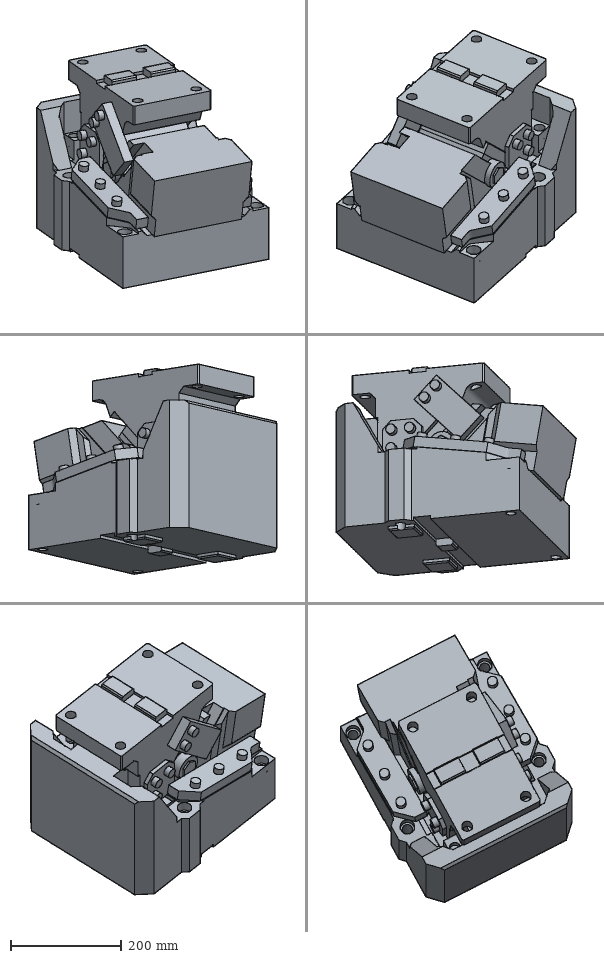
import cadquery as cq
import math

LENGTH = 385.0
SLIDE_ANGLE = 10.0
SLIDE_TOP_Z = 211.0
SLIDE_HEIGHT = 120.0
FAR = 462.0
BOLT_DIA = 18.0
BOLT_HEAD_HEIGHT = 11.5
KEY_WIDTH = 32.0
KEY_LENGTH = 50.0
KEY_HEIGHT = 8.0
KEY_CHAMFER = 2.7
KEY_SLOT_DEPTH = 5.8
BOTH_SIDES = (1, -1)

sine = math.sin(math.radians(SLIDE_ANGLE))
cosine = math.cos(math.radians(SLIDE_ANGLE))
slide_corner = (LENGTH, 0, SLIDE_TOP_Z)
up_slope = (-cosine, 0, sine)
into_base = (-sine, 0, -cosine)

slope_plan = cq.Plane(slide_corner, up_slope, into_base)

wedge_side = cq.Plane((0, 0, 0), (1, 0, -1), (0, -1, 0))


def symmetric_prism(plane, points, half_width):
    """Outline in a side plane, extruded equally to both sides of Y = 0."""
    return cq.Workplane(plane).polyline(points).close().extrude(half_width, both=True)


def block(x0, x1, y0, y1, z0, z1):
    return cq.Workplane("XY").box(x1 - x0, y1 - y0, z1 - z0, centered=False).translate((x0, y0, z0))


def wedge_block(n0, n1, t0, t1, y0, y1):
    """Box square to the 45 degree drive faces."""
    face = cq.Workplane(wedge_side).center((n0 + n1) / 2, (t0 + t1) / 2).rect(n1 - n0, t1 - t0)
    return face.extrude(y1 - y0).translate((0, y1, 0))


def mirrored(shape):
    """The shape together with its mirror image across Y = 0."""
    return shape.union(shape.mirror("XZ"))


def bolt_heads(plane, centers):
    return cq.Workplane(plane).pushPoints(centers).circle(BOLT_DIA / 2).extrude(BOLT_HEAD_HEIGHT)


BASE_LENGTH = 356.0
BASE_HALF_WIDTH = 149.8
WALL_TOP_Z = 235.2
WALL_TOP_LENGTH = 39.5
REAR_CORNER = 25.0
REAR_TOP_CHAMFER = 5.5

SEAT_DEPTH = 109.5
CHANNEL_FLOOR_HALF = 100.0
CHANNEL_TOP_HALF = CHANNEL_FLOOR_HALF + SLIDE_HEIGHT - SEAT_DEPTH

LUG_X = (100.0, 150.5)
LUG_HALF_WIDTH = 320.0 / 2
REAR_PAD_Z = 136.0
REAR_PAD_X = 94.7
REAR_PAD_END_X = 129.0
FRONT_PAD_Z = 101.0
PAD_INNER_Y = 118.0
FRONT_PAD_X = 292.5
REAR_PAD_CORNER = 7.5

RECESS_REAR_X = 25.5
RECESS_HALF_WIDTH = 115.5
RECESS_REAR_HALF = 93.5
PIT_FLOOR_Z = REAR_PAD_Z - (SLIDE_HEIGHT - SEAT_DEPTH)
PIT_END_X = 131.0
LEDGE_Z = 173.3
LEDGE_END_X = 62.8
LEDGE_HOLE = (41.2, 81.5)
LEDGE_HOLE_DIA = 20.0
LEDGE_HOLE_DEPTH = 19.3
BUTTRESS_HALF_WIDTH = 51.5
BUTTRESS_X = 55.5
BUTTRESS_CHAMFER = 4.5
WEAR_FACE_X = 64.5
WEAR_PLATE_TOP_Z = 226.5

MOUNT_HOLE_X = (125.0, 335.5)
MOUNT_HOLE_Y = 134.8
MOUNT_HOLE_DIA = 18.5
MOUNT_BORE_DIA = 26.0
MOUNT_BORE_DEPTH = 19.3

PLATE_THICKNESS = 20.0
PLATE_INNER_Y = 94.5
PLATE_OUTER_Y = 148.0
PLATE_START = 19.5
PLATE_END = 245.5
PLATE_CORNER = 29.5
PLATE_NOTCH = 45.5
NOTCH_RADIUS = 10.8
PLATE_BOLT_Y = 127.5
PLATE_BOLT_START = 81.0
PLATE_BOLT_PITCH = 64.5

BASE_KEY_Y = 104.5
CENTER_KEY_X = 171.0
CENTER_KEY_WIDTH = 31.0


def slope_z(x, depth):
    """Height at x of the plane lying the given depth below the slide's top."""
    return SLIDE_TOP_Z - depth / cosine + (LENGTH - x) * sine / cosine


def base_body():
    outline = [
        (0, 0),
        (BASE_LENGTH, 0),
        (BASE_LENGTH, slope_z(BASE_LENGTH, SEAT_DEPTH)),
        (REAR_PAD_X, slope_z(REAR_PAD_X, SEAT_DEPTH)),
        (REAR_PAD_X, REAR_PAD_Z),
        (WALL_TOP_LENGTH, WALL_TOP_Z),
        (0, WALL_TOP_Z),
    ]
    body = symmetric_prism(cq.Plane.XZ(), outline, BASE_HALF_WIDTH)
    body = body.edges("|Z and <X").chamfer(REAR_CORNER)
    return body.faces("<X").edges(">Z").chamfer(REAR_TOP_CHAMFER)


def mounting_lug():
    x0, x1 = LUG_X
    step = LUG_HALF_WIDTH - BASE_HALF_WIDTH
    outline = [
        (x0, 0),
        (x0, BASE_HALF_WIDTH),
        (x0 + step, LUG_HALF_WIDTH),
        (x1 - step, LUG_HALF_WIDTH),
        (x1, BASE_HALF_WIDTH),
        (x1, 0),
    ]
    return cq.Workplane("XY").polyline(outline).close().extrude(REAR_PAD_Z)


def rear_pad_cut():
    corner_y = BASE_HALF_WIDTH - REAR_PAD_CORNER
    outline = [
        (REAR_PAD_X, 0),
        (REAR_PAD_X, corner_y),
        (REAR_PAD_X - REAR_PAD_CORNER, BASE_HALF_WIDTH),
        (REAR_PAD_X - REAR_PAD_CORNER, LUG_HALF_WIDTH),
        (REAR_PAD_END_X + LUG_HALF_WIDTH - PAD_INNER_Y, LUG_HALF_WIDTH),
        (REAR_PAD_END_X, PAD_INNER_Y),
        (REAR_PAD_END_X, 0),
    ]
    return cq.Workplane("XY", (0, 0, REAR_PAD_Z)).polyline(outline).close().extrude(FAR)


def front_pad_cut():
    slant = BASE_HALF_WIDTH - PAD_INNER_Y
    outline = [
        (FRONT_PAD_X, BASE_HALF_WIDTH),
        (FRONT_PAD_X + slant, PAD_INNER_Y),
        (BASE_LENGTH, PAD_INNER_Y),
        (BASE_LENGTH, BASE_HALF_WIDTH),
    ]
    cut = cq.Workplane("XY", (0, 0, FRONT_PAD_Z)).polyline(outline).close().extrude(FAR)
    corner = (FRONT_PAD_X + slant, PAD_INNER_Y, FRONT_PAD_Z + FAR / 2)
    return cut.edges(cq.NearestToPointSelector(corner)).fillet(NOTCH_RADIUS)


def slide_channel():
    """Slideway with flared walls, open at the front and at the driver recess."""
    wall_height = SLIDE_HEIGHT - SEAT_DEPTH
    section = [
        (-CHANNEL_FLOOR_HALF, 0),
        (CHANNEL_FLOOR_HALF, 0),
        (CHANNEL_TOP_HALF, wall_height),
        (CHANNEL_TOP_HALF, FAR),
        (-CHANNEL_TOP_HALF, FAR),
        (-CHANNEL_TOP_HALF, wall_height),
    ]
    front = cq.Plane((LENGTH, 0, slope_z(LENGTH, SLIDE_HEIGHT)), (0, -1, 0), up_slope)
    flared = cq.Workplane(front).polyline(section).close().extrude(FAR)
    return flared.intersect(block(REAR_PAD_X, FAR, -FAR, FAR, 0, FAR))


def driver_recess():
    """Room for the driver's stem: a wide recess with slanted rear corners above a deeper pit."""
    corner = RECESS_HALF_WIDTH - RECESS_REAR_HALF
    outline = [
        (RECESS_REAR_X, 0),
        (RECESS_REAR_X, RECESS_REAR_HALF),
        (RECESS_REAR_X + corner, RECESS_HALF_WIDTH),
        (REAR_PAD_X, RECESS_HALF_WIDTH),
        (REAR_PAD_X, 0),
    ]
    wide = cq.Workplane("XY", (0, 0, REAR_PAD_Z)).polyline(outline).close().extrude(FAR)
    pit = block(LEDGE_END_X, PIT_END_X, 0, CHANNEL_FLOOR_HALF, PIT_FLOOR_Z, REAR_PAD_Z)
    flare_section = [
        (0, PIT_FLOOR_Z),
        (CHANNEL_FLOOR_HALF, PIT_FLOOR_Z),
        (CHANNEL_TOP_HALF, REAR_PAD_Z),
        (0, REAR_PAD_Z),
    ]
    flare = cq.Workplane("YZ", (REAR_PAD_X, 0, 0)).polyline(flare_section).close()
    return mirrored(wide.union(pit).union(flare.extrude(PIT_END_X - REAR_PAD_X)))


def rear_ledges():
    """Low ledges behind the stem, each with a blind hole."""
    half = RECESS_REAR_HALF
    ledge = block(RECESS_REAR_X, LEDGE_END_X, -half, half, PIT_FLOOR_Z, LEDGE_Z)
    x, y = LEDGE_HOLE
    holes = cq.Workplane("XY", (0, 0, LEDGE_Z)).pushPoints([(x, y), (x, -y)])
    return ledge.cut(holes.circle(LEDGE_HOLE_DIA / 2).extrude(-LEDGE_HOLE_DEPTH))


def buttress():
    """Middle of the rear wall, faced with a wear plate that backs the driver."""
    half = BUTTRESS_HALF_WIDTH
    wall = block(RECESS_REAR_X, BUTTRESS_X, -half, half, PIT_FLOOR_Z, WALL_TOP_Z)
    wall = wall.edges(">X and >Z").chamfer(BUTTRESS_CHAMFER)
    return wall.union(block(BUTTRESS_X, WEAR_FACE_X, -half, half, PIT_FLOOR_Z, WEAR_PLATE_TOP_Z))


def retaining_plate():
    """Plate on the +Y seat that guides the slide, with its bolt heads."""
    notch_y = PLATE_OUTER_Y - PLATE_CORNER
    outline = [
        (PLATE_START, PLATE_INNER_Y),
        (PLATE_END, PLATE_INNER_Y),
        (PLATE_END, notch_y),
        (PLATE_END - PLATE_CORNER, PLATE_OUTER_Y),
        (PLATE_NOTCH + PLATE_CORNER, PLATE_OUTER_Y),
        (PLATE_NOTCH, notch_y),
        (PLATE_START, notch_y),
    ]
    top = SEAT_DEPTH - PLATE_THICKNESS
    plate = cq.Workplane(slope_plan).workplane(offset=top).polyline(outline).close()
    plate = plate.extrude(PLATE_THICKNESS)
    notch_corner = slope_plan.toWorldCoords((PLATE_NOTCH, notch_y, top + PLATE_THICKNESS / 2))
    plate = plate.edges(cq.NearestToPointSelector(notch_corner.toTuple())).fillet(NOTCH_RADIUS)
    centers = [(PLATE_BOLT_START + i * PLATE_BOLT_PITCH, PLATE_BOLT_Y) for i in range(3)]
    heads = cq.Workplane(slope_plan).workplane(offset=top).pushPoints(centers)
    return plate.union(heads.circle(BOLT_DIA / 2).extrude(-BOLT_HEAD_HEIGHT))


def mounting_hole(x, y, pad_z):
    """Counterbored hole from a pad down through the base and its keys."""
    hole = cq.Workplane("XY", (x, y, pad_z)).circle(MOUNT_HOLE_DIA / 2).extrude(-pad_z - KEY_HEIGHT)
    bore = cq.Workplane("XY", (x, y, pad_z)).circle(MOUNT_BORE_DIA / 2).extrude(-MOUNT_BORE_DEPTH)
    return hole.union(bore)


def base_key_slot():
    slot = cq.Workplane("XY").center(CENTER_KEY_X, 0)
    return slot.rect(KEY_WIDTH, 2 * BASE_HALF_WIDTH).extrude(KEY_SLOT_DEPTH)


def base_keys():
    lug_center = sum(LUG_X) / 2
    lug_length = LUG_X[1] - LUG_X[0]
    under = cq.Workplane("XY").pushPoints([(lug_center, side * BASE_KEY_Y) for side in BOTH_SIDES])
    keys = under.rect(lug_length, KEY_LENGTH).extrude(-KEY_HEIGHT)
    middle = cq.Workplane("XY").center(CENTER_KEY_X, 0).rect(KEY_WIDTH, CENTER_KEY_WIDTH)
    middle = middle.extrude(-KEY_HEIGHT - KEY_SLOT_DEPTH).translate((0, 0, KEY_SLOT_DEPTH))
    keys = keys.faces("<Z").edges().chamfer(KEY_CHAMFER)
    return keys.union(middle.faces("<Z").edges("|Y").chamfer(KEY_CHAMFER))


base = base_body().union(mirrored(mounting_lug()))
base = base.cut(mirrored(rear_pad_cut())).cut(mirrored(front_pad_cut()))
base = base.cut(slide_channel()).cut(driver_recess())
base = base.union(rear_ledges()).union(buttress())
base = base.cut(base_key_slot()).union(base_keys())
for hole_x, hole_top in zip(MOUNT_HOLE_X, (REAR_PAD_Z, FRONT_PAD_Z)):
    base = base.cut(mirrored(mounting_hole(hole_x, MOUNT_HOLE_Y, hole_top)))
base = base.union(mirrored(retaining_plate()))

SLIDE_HALF_WIDTH = 100.0
SLIDE_HEAD_LENGTH = 81.0
SLIDE_HEAD_CHAMFER = 10.5
SLIDE_HEAD_DEPTH = 74.0
NECK_HALF_WIDTH = SLIDE_HALF_WIDTH - SLIDE_HEAD_CHAMFER
NECK_END = 104.7
NECK_TAPER = 5.5
SHOULDER_HALF_WIDTH = 79.5
CORE_HALF_WIDTH = 77.0

SLIDE_FACE = 6.0
PAD_FACE = -4.2
SHOULDER_FACE = 43.5
NECK_FACE = 49.5
PAD_HALF_WIDTH = 69.3
PAD_TOP = 292.5
PAD_LOW_Z = 138.5

NOTCH_REAR = 20.0
NOTCH_FRONT = 47.7
NOTCH_INNER_Y = 55.0

WASHER_CENTER = (188.3, 159.8)
WASHER_DIA = 50.0
WASHER_FACE_Y = 88.0
NUT_DIA = 34.0
NUT_FACE_Y = 92.0

CLIP_LOW = 273.7
CLIP_WIDTH = 60.0


def slide_block():
    """Stepped plan of the slide, cut off by its 45 degree drive faces."""
    half_plan = [
        (0, SLIDE_HALF_WIDTH),
        (SLIDE_HEAD_LENGTH, SLIDE_HALF_WIDTH),
        (SLIDE_HEAD_LENGTH + SLIDE_HEAD_CHAMFER, NECK_HALF_WIDTH),
        (NECK_END, NECK_HALF_WIDTH),
        (NECK_END + NECK_TAPER, SHOULDER_HALF_WIDTH),
        (FAR, SHOULDER_HALF_WIDTH),
    ]
    plan = half_plan + [(u, -y) for u, y in reversed(half_plan)]
    body = cq.Workplane(slope_plan).polyline(plan).close().extrude(SLIDE_HEIGHT)
    body = body.cut(wedge_block(-FAR, SLIDE_FACE, -FAR, FAR, -FAR, FAR))
    shoulder = wedge_block(-FAR, SHOULDER_FACE, -FAR, FAR, CORE_HALF_WIDTH, FAR)
    neck = wedge_block(-FAR, NECK_FACE, -FAR, FAR, SHOULDER_HALF_WIDTH, FAR)
    return body.cut(mirrored(shoulder)).cut(mirrored(neck))


def head_undercut():
    """Narrows the wide head below its flanks so that it clears the retaining plates."""
    section = [
        (SLIDE_HALF_WIDTH, SLIDE_HEAD_DEPTH),
        (NECK_HALF_WIDTH, SLIDE_HEAD_DEPTH + SLIDE_HEAD_CHAMFER),
        (NECK_HALF_WIDTH, FAR),
        (SLIDE_HALF_WIDTH, FAR),
    ]
    end = cq.Plane(slide_corner, (0, 1, 0), up_slope)
    return cq.Workplane(end).polyline(section).close().extrude(FAR)


def clip_notch():
    return wedge_block(NOTCH_REAR, NOTCH_FRONT, CLIP_LOW, FAR, -SHOULDER_HALF_WIDTH, -NOTCH_INNER_Y)


def slide_pad():
    pad = wedge_block(PAD_FACE, SLIDE_FACE, 0, PAD_TOP, -PAD_HALF_WIDTH, PAD_HALF_WIDTH)
    return pad.intersect(block(0, FAR, -FAR, FAR, PAD_LOW_Z, FAR))


def side_washer():
    """Round washer and hexagon nut on the +Y flank."""
    flank = cq.Plane((WASHER_CENTER[0], 0, WASHER_CENTER[1]), (0, 0, 1), (0, 1, 0))
    start = PAD_HALF_WIDTH
    washer = cq.Workplane(flank).workplane(offset=start).circle(WASHER_DIA / 2)
    nut = cq.Workplane(flank).workplane(offset=start).polygon(6, NUT_DIA)
    return washer.extrude(WASHER_FACE_Y - start).union(nut.extrude(NUT_FACE_Y - start))


slide = slide_block().cut(mirrored(head_undercut())).cut(clip_notch())
slide = slide.union(slide_pad()).union(mirrored(side_washer()))

HEAD_X = (14.5, 266.5)
HEAD_Z = (274.0, 310.7)
DRIVER_HALF_WIDTH = 80.0
HEAD_CORNER = 2.7
STEM_REAR_X = 60.5
STEM_REAR_CHAMFER = 11.0
STEM_LOW_Z = 134.8
DRIVER_FACE = -24.5
THROAT_END = (249.5, HEAD_Z[0])
THROAT_MID = (237.0, 269.5)
THROAT_START = (231.0, 260.3)
NOSE = (222.0, 238.5)

HEAD_HOLE_X = (34.5, 245.3)
HEAD_HOLE_Y = 60.0
HEAD_HOLE_DIA = 19.0
HEAD_HOLE_DEPTH = 96.3
KEY_SLOT_X = 140.0
DRIVER_KEY_Y = 40.0

GUIDE_X = (76.2, 151.0)
GUIDE_Z = (134.8, 215.0)
GUIDE_CORNER = 15.8
GUIDE_THICKNESS = 8.0
GUIDE_BOLT_PITCH = 35.5
GUIDE_BOLT = (95.0, 195.5)

CLIP_REAR = -76.0
CLIP_THICKNESS = 19.3
CLIP_BOLT_INSET = 15.8
CLIP_BOLT_PITCH = 29.5


def driver_body():
    drop = DRIVER_FACE * math.sqrt(2)
    nose_slack = (NOSE[0] - NOSE[1] - drop) / 2
    outline = (
        cq.Workplane("XZ")
        .moveTo(HEAD_X[0], HEAD_Z[1])
        .lineTo(HEAD_X[0], HEAD_Z[0])
        .lineTo(STEM_REAR_X - STEM_REAR_CHAMFER, HEAD_Z[0])
        .lineTo(STEM_REAR_X, HEAD_Z[0] - STEM_REAR_CHAMFER)
        .lineTo(STEM_REAR_X, WEAR_PLATE_TOP_Z)
        .lineTo(WEAR_FACE_X, WEAR_PLATE_TOP_Z)
        .lineTo(WEAR_FACE_X, STEM_LOW_Z)
        .lineTo(STEM_LOW_Z + drop, STEM_LOW_Z)
        .lineTo(NOSE[0] - nose_slack, NOSE[1] + nose_slack)
        .lineTo(*NOSE)
        .lineTo(*THROAT_START)
        .threePointArc(THROAT_MID, THROAT_END)
        .lineTo(HEAD_X[1], HEAD_Z[0])
        .lineTo(HEAD_X[1], HEAD_Z[1])
        .close()
    )
    body = outline.extrude(DRIVER_HALF_WIDTH, both=True)
    return body.edges("|Z and (<X or >X)").chamfer(HEAD_CORNER)


def driver_pad():
    pad = wedge_block(DRIVER_FACE, PAD_FACE, 0, PAD_TOP, -PAD_HALF_WIDTH, PAD_HALF_WIDTH)
    return pad.intersect(block(0, FAR, -FAR, FAR, STEM_LOW_Z, FAR))


def head_holes():
    centers = [(x, side * HEAD_HOLE_Y) for x in HEAD_HOLE_X for side in BOTH_SIDES]
    holes = cq.Workplane("XY", (0, 0, HEAD_Z[1])).pushPoints(centers)
    return holes.circle(HEAD_HOLE_DIA / 2).extrude(-HEAD_HOLE_DEPTH)


def key_slot():
    slot = cq.Workplane("XY", (0, 0, HEAD_Z[1])).center(KEY_SLOT_X, 0)
    return slot.rect(KEY_WIDTH, 2 * DRIVER_HALF_WIDTH).extrude(-KEY_SLOT_DEPTH)


def driver_keys():
    floor = cq.Workplane("XY", (0, 0, HEAD_Z[1] - KEY_SLOT_DEPTH))
    keys = floor.pushPoints([(KEY_SLOT_X, side * DRIVER_KEY_Y) for side in BOTH_SIDES])
    keys = keys.rect(KEY_WIDTH, KEY_LENGTH).extrude(KEY_SLOT_DEPTH + KEY_HEIGHT)
    return keys.faces(">Z").edges("|Y").chamfer(KEY_CHAMFER)


def guide_plate():
    """Side guide on the -Y flank; its fourth corner overhangs the drive face and has no bolt."""
    plate = block(*GUIDE_X, -DRIVER_HALF_WIDTH - GUIDE_THICKNESS, -DRIVER_HALF_WIDTH, *GUIDE_Z)
    plate = plate.edges("|Y").chamfer(GUIDE_CORNER)
    x, z = GUIDE_BOLT
    centers = [(x, z), (x + GUIDE_BOLT_PITCH, z), (x, z - GUIDE_BOLT_PITCH)]
    outer = cq.Plane((0, -DRIVER_HALF_WIDTH - GUIDE_THICKNESS, 0), (1, 0, 0), (0, -1, 0))
    return plate.union(bolt_heads(outer, centers))


def clip():
    """Return clip on the -Y flank, ending against the slide's shoulder."""
    outer_y = -DRIVER_HALF_WIDTH - CLIP_THICKNESS
    bar = wedge_block(CLIP_REAR, SHOULDER_FACE, CLIP_LOW, CLIP_LOW + CLIP_WIDTH, outer_y, -DRIVER_HALF_WIDTH)
    middle = CLIP_LOW + CLIP_WIDTH / 2
    centers = [(CLIP_REAR + CLIP_BOLT_INSET, middle + side * CLIP_BOLT_PITCH / 2) for side in BOTH_SIDES]
    outer = cq.Plane((0, outer_y, 0), (1, 0, -1), (0, -1, 0))
    return bar.union(bolt_heads(outer, centers))


driver = driver_body().union(driver_pad()).cut(head_holes()).cut(key_slot())
driver = driver.union(driver_keys()).union(mirrored(guide_plate())).union(clip())

result = cq.Compound.makeCompound([base.val(), slide.val(), driver.val()])